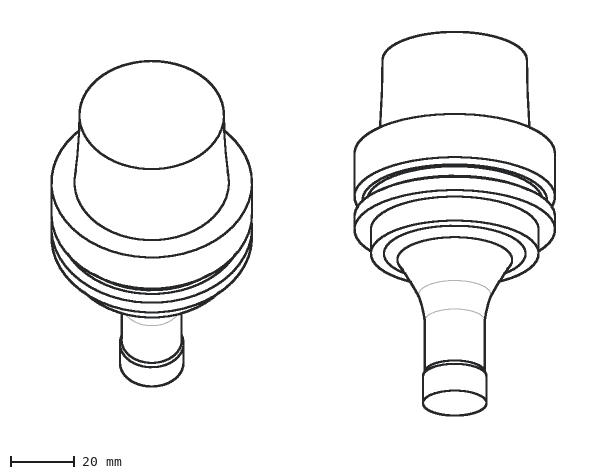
import cadquery as cq
import math

taper_top_radius = 22.7
taper_base_radius = 24.2
flange_radius = 63.0 / 2
groove_lip_radius = 29.0
groove_radius = 55 / 2
collar_radius = 52.6 / 2
cone_radius = 22.2
upper_flare_radius = 18.0
lower_flare_radius = 11.3
shank_radius = 18.8 / 2
tip_radius = 20.0 / 2

overall_height = 117
flange_top = 85.2
upper_rim_bottom = 70.4
groove_top = 69.0
groove_bottom = 65.2
lower_rim_top = 63.8
flange_bottom = 59.2
collar_bottom = 51.0
upper_flare_top = 48.9
lower_flare_top = 37.0
shank_top = 28.1
shank_bottom = 10.5
tip_shoulder = 9.1

flare_bow = 0.2


def point_on_taper_arc():
    """Halfway point of the taper arc, whose tangent is vertical at the top."""
    spread = taper_base_radius - taper_top_radius
    length = overall_height - flange_top
    arc_radius = (length**2 + spread**2) / (2 * spread)
    half_angle = math.asin(length / arc_radius) / 2
    return (
        taper_top_radius + arc_radius * (1 - math.cos(half_angle)),
        overall_height - arc_radius * math.sin(half_angle),
    )


def point_on_flare_arc(upper, lower):
    """Middle of the chord, moved by the bow toward the axis, normal to the chord."""
    run = upper[0] - lower[0]
    drop = upper[1] - lower[1]
    chord = math.hypot(run, drop)
    return (
        (upper[0] + lower[0]) / 2 - flare_bow * drop / chord,
        (upper[1] + lower[1]) / 2 + flare_bow * run / chord,
    )


upper_flare_start = (upper_flare_radius, upper_flare_top)
lower_flare_start = (lower_flare_radius, lower_flare_top)
shank_start = (shank_radius, shank_top)

taper = (
    cq.Workplane("XZ")
    .moveTo(0, overall_height)
    .lineTo(taper_top_radius, overall_height)
    .threePointArc(point_on_taper_arc(), (taper_base_radius, flange_top))
)

grooved_flange = (
    taper.lineTo(flange_radius, flange_top)
    .lineTo(flange_radius, upper_rim_bottom)
    .lineTo(groove_lip_radius, groove_top)
    .lineTo(groove_radius, groove_top)
    .lineTo(groove_radius, groove_bottom)
    .lineTo(groove_lip_radius, groove_bottom)
    .lineTo(flange_radius, lower_rim_top)
    .lineTo(flange_radius, flange_bottom)
)

collar_and_flares = (
    grooved_flange.lineTo(collar_radius, flange_bottom)
    .lineTo(collar_radius, collar_bottom)
    .lineTo(cone_radius, collar_bottom)
    .lineTo(*upper_flare_start)
    .threePointArc(point_on_flare_arc(upper_flare_start, lower_flare_start), lower_flare_start)
    .threePointArc(point_on_flare_arc(lower_flare_start, shank_start), shank_start)
)

half_section = (
    collar_and_flares.lineTo(shank_radius, shank_bottom)
    .lineTo(tip_radius, tip_shoulder)
    .lineTo(tip_radius, 0)
    .lineTo(0, 0)
    .close()
)

result = half_section.revolve(360, (0, 0, 0), (0, 1, 0))